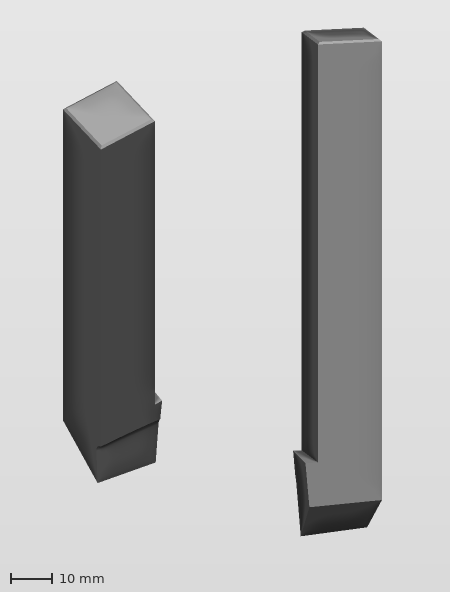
import cadquery as cq


shank_width = 16.0
total_length = 124.9
head_depth = 19.1
ledge_height = 21.2
end_chamfer = 0.6
end_chamfer_height = 0.5

back_slope_x = 0.06
back_slope_z = 0.09
end_slope_x = 0.65
end_slope_y = 0.05
rake_slope_y = 0.08
rake_slope_z = 0.045

rake_length = 13.0
runout_radius = 3.5
tip_width = 4.9
tip_thickness = 9.4
tip_height = 12.2

cutter_size = 100

point_y = head_depth - back_slope_x * shank_width - back_slope_z * ledge_height
cutting_point = cq.Vector(shank_width, point_y, 0)


def block_beyond(point, normal):
    """Large block filling the side of a plane that its normal points to."""
    plane = cq.Plane(origin=point, normal=normal)
    return cq.Workplane(plane).rect(2 * cutter_size, 2 * cutter_size).extrude(cutter_size)


def rake_sketch_plane(distance_behind):
    """Sketch plane across the rake face, set back behind the cutting point."""
    origin = cutting_point + cq.Vector(rake_slope_y, 1, 0) * distance_behind
    return cq.Workplane(cq.Plane(origin=origin, xDir=(1, -rake_slope_y, 0), normal=(-rake_slope_y, -1, 0)))


back_normal = cq.Vector(back_slope_x, 1, -back_slope_z)
end_normal = cq.Vector(-end_slope_x, -end_slope_y, -1)
sketch_setback = head_depth
sweep_length = 3 * head_depth
profile_drop = cutter_size / 4


def make_blank():
    shank = cq.Workplane("XY").box(shank_width, shank_width, total_length, centered=False)
    top_edges = shank.faces(">Z").edges().vals()
    shank = cq.Workplane(shank.val().chamfer(end_chamfer_height, end_chamfer, top_edges))
    head = cq.Workplane("XY").box(shank_width, head_depth, ledge_height, centered=False)
    return shank.union(head)


def make_rake_cutter():
    """Sloping rake face that ends upward in a tangent concave arc."""
    arc_start = cq.Vector(-rake_slope_z * rake_length, rake_length, 0)
    normal = cq.Vector(1, rake_slope_z, 0).normalized()
    along = cq.Vector(-rake_slope_z, 1, 0).normalized()
    arc_center = arc_start + normal * runout_radius
    arc_middle = arc_center + (along - normal).normalized() * runout_radius
    arc_end = arc_center + along * runout_radius
    return (
        rake_sketch_plane(sketch_setback)
        .moveTo(rake_slope_z * profile_drop, -profile_drop)
        .lineTo(arc_start.x, arc_start.y)
        .threePointArc((arc_middle.x, arc_middle.y), (arc_end.x, arc_end.y))
        .lineTo(arc_end.x, -profile_drop)
        .close()
        .extrude(sweep_length)
    )


def make_tip_region():
    """Space of the tip: parallel to the rake face and to the back face."""
    floor_low = -tip_thickness + rake_slope_z * profile_drop
    floor_high = -tip_thickness - rake_slope_z * tip_height
    slab = (
        rake_sketch_plane(sketch_setback)
        .moveTo(floor_low, -profile_drop)
        .lineTo(floor_high, tip_height)
        .lineTo(-rake_slope_z * tip_height, tip_height)
        .lineTo(rake_slope_z * profile_drop, -profile_drop)
        .close()
        .extrude(sweep_length)
    )
    seat_wall_point = cutting_point - cq.Vector(0, tip_width, 0)
    return slab.intersect(block_beyond(seat_wall_point, back_normal))


ground_tool = (
    make_blank()
    .cut(block_beyond(cutting_point, back_normal))
    .cut(block_beyond(cutting_point, end_normal))
    .cut(make_rake_cutter())
)
tip_region = make_tip_region()

holder = ground_tool.cut(tip_region)
cutting_tip = ground_tool.intersect(tip_region)

result = cq.Compound.makeCompound([*holder.vals(), *cutting_tip.vals()])